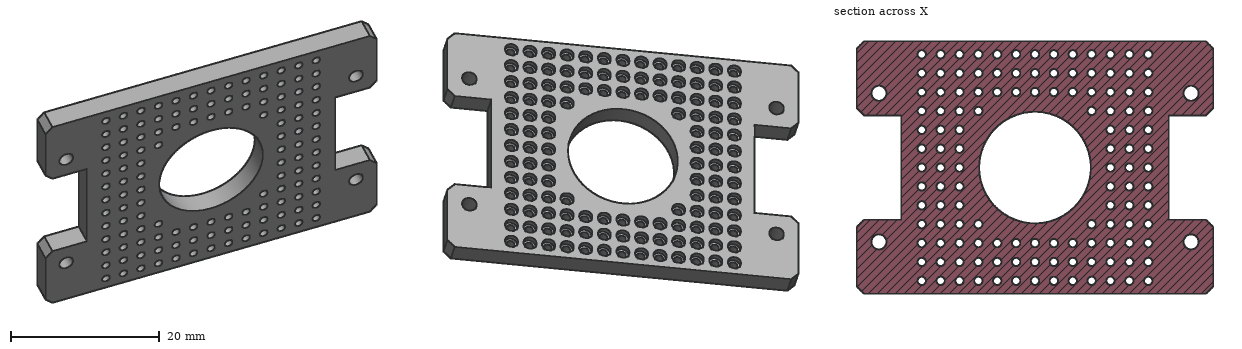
import cadquery as cq
import math

thickness = 3.0
length = 48.0
height = 34.0
corner_chamfer = 1.0

notch_depth = 6.0
notch_height = 14.0

window_diameter = 15.0
mount_hole_diameter = 2.0
mount_spacing_y = 42.0
mount_spacing_z = 20.0

pin_pitch = 2.54
pins_per_side = 13
pin_hole_diameter = 1.1
pin_counterbore_diameter = 1.8
pin_counterbore_depth = 0.8
pin_keepout_radius = 10.0

front_x = -thickness / 2


def x_cylinder(points, diameter, depth):
    """Cylinders along +X from the front face, centred at the given (y, z) points."""
    return (
        cq.Workplane("YZ", origin=(front_x, 0, 0))
        .pushPoints(points)
        .circle(diameter / 2)
        .extrude(depth)
    )


def make_plate():
    """H-shaped plate with chamfered ear corners."""
    blank = cq.Workplane("XY").box(thickness, length, height)
    for side in (-1, 1):
        notch = cq.Workplane("XY").box(thickness, 2 * notch_depth, notch_height)
        blank = blank.cut(notch.translate((0, side * length / 2, 0)))
    return blank.edges("|X and (<Y or >Y)").chamfer(corner_chamfer)


def pin_points():
    """Grid positions that stay clear of the window."""
    half_count = pins_per_side // 2
    offsets = [pin_pitch * index for index in range(-half_count, half_count + 1)]
    return [(y, z) for y in offsets for z in offsets if math.hypot(y, z) > pin_keepout_radius]


def mount_points():
    """One hole in each ear."""
    return [
        (side_y * mount_spacing_y / 2, side_z * mount_spacing_z / 2)
        for side_y in (-1, 1)
        for side_z in (-1, 1)
    ]


pins = pin_points()
result = (
    make_plate()
    .cut(x_cylinder([(0, 0)], window_diameter, thickness))
    .cut(x_cylinder(mount_points(), mount_hole_diameter, thickness))
    .cut(x_cylinder(pins, pin_hole_diameter, thickness))
    .cut(x_cylinder(pins, pin_counterbore_diameter, pin_counterbore_depth))
)